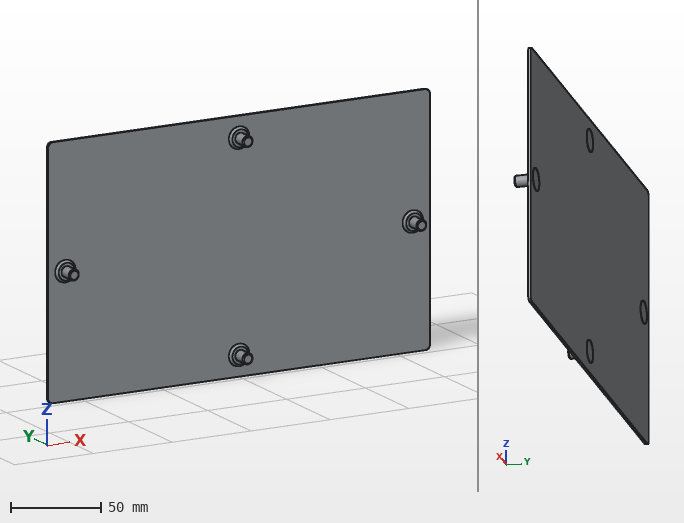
import cadquery as cq

plate_width = 242.0
plate_height = 150.0
plate_thickness = 1.5
plate_corner_radius = 3.0

stud_length = 12.0
head_diameter = 13.0
head_rim_diameter = 10.2
head_protrusion = 0.3
shank_diameter = 6.5
tip_chamfer = 0.7

stud_offset_x = 110.0
stud_offset_z = 62.5
stud_positions = [
    (-stud_offset_x, 0),
    (stud_offset_x, 0),
    (0, -stud_offset_z),
    (0, stud_offset_z),
]

plate_back_y = -head_protrusion
plate_front_y = plate_back_y - plate_thickness

head_radius = head_diameter / 2
head_rim_radius = head_rim_diameter / 2
shoulder_y = plate_front_y - (head_radius - head_rim_radius)


def make_plate():
    """Rounded rectangular plate with a through hole for each stud head."""
    plate_back = cq.Workplane("XZ", origin=(0, plate_back_y, 0))
    blank = (
        plate_back
        .rect(plate_width, plate_height)
        .extrude(plate_thickness)
        .edges("|Y")
        .fillet(plate_corner_radius)
    )
    holes = (
        plate_back
        .pushPoints(stud_positions)
        .circle(head_radius)
        .extrude(plate_thickness)
    )
    return blank.cut(holes)


def make_stud(x, z):
    """Turned stud: head filling its hole, conical shoulder, shank with a chamfered tip."""
    shank_radius = shank_diameter / 2
    half_profile = (
        cq.Workplane("XY")
        .moveTo(0, 0)
        .lineTo(head_radius, 0)
        .lineTo(head_radius, plate_front_y)
        .lineTo(head_rim_radius, shoulder_y)
        .lineTo(shank_radius, shoulder_y)
        .lineTo(shank_radius, -stud_length + tip_chamfer)
        .lineTo(shank_radius - tip_chamfer, -stud_length)
        .lineTo(0, -stud_length)
        .close()
    )
    stud = half_profile.revolve(360, (0, 0, 0), (0, 1, 0))
    return stud.translate((x, 0, z))


plate = make_plate()
studs = [make_stud(x, z) for x, z in stud_positions]

result = cq.Compound.makeCompound([plate.val(), *[stud.val() for stud in studs]])